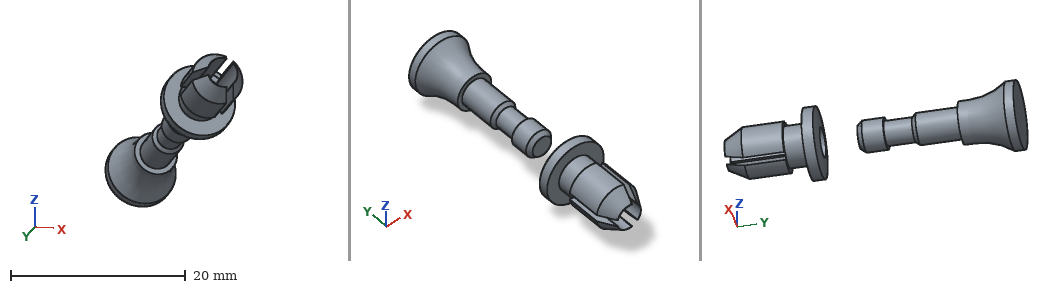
import cadquery as cq
import math

total_length = 34.28

knob_radius = 4.05
knob_rim_length = 1.13
knob_neck_radius = 2.55
knob_neck_length = 1.15
knob_length = 6.85
shank_radius = 1.9
shank_length = 5.05
waist_radius = 1.47
waist_taper_length = 0.5
waist_length = 3.3
tip_length = 3.12
tip_end_radius = 1.4
tip_chamfer_length = 0.6

flange_radius = 4.25
flange_thickness = 1.35
dome_height = 0.35
neck_radius = 2.47
neck_length = 2.5
finger_radius = 3.0
finger_length = 7.03
finger_taper_length = 2.23
finger_end_radius = 1.78
bore_radius = 1.75
slot_width = 0.95
slot_count = 3
first_slot_angle = 180.0


def revolve_about_y(profile):
    """Turn a closed half-profile (X = radius) once around the Y axis."""
    return profile.close().revolve(360, (0, 0, 0), (0, 1, 0))


def make_pin():
    """Revolve the pin, working from the knob end towards the tip."""
    rim_y = total_length - knob_rim_length
    knob_y = total_length - knob_length
    flare_y = knob_y + knob_neck_length
    shank_y = knob_y - shank_length
    waist_y = shank_y - waist_taper_length
    tip_y = waist_y - waist_length
    end_y = tip_y - tip_length

    flare_length = rim_y - flare_y
    flare_rise = knob_radius - knob_neck_radius
    flare_arc_radius = (flare_length**2 + flare_rise**2) / (2 * flare_rise)
    half_angle = math.asin(flare_length / flare_arc_radius) / 2
    flare_middle = (
        knob_neck_radius + flare_arc_radius * (1 - math.cos(half_angle)),
        flare_y + flare_arc_radius * math.sin(half_angle),
    )

    profile = (
        cq.Workplane("XY")
        .moveTo(0, total_length)
        .lineTo(knob_radius, total_length)
        .lineTo(knob_radius, rim_y)
        .threePointArc(flare_middle, (knob_neck_radius, flare_y))
        .lineTo(knob_neck_radius, knob_y)
        .lineTo(shank_radius, knob_y)
        .lineTo(shank_radius, shank_y)
        .lineTo(waist_radius, waist_y)
        .lineTo(waist_radius, tip_y)
        .lineTo(shank_radius, tip_y)
        .lineTo(shank_radius, end_y + tip_chamfer_length)
        .lineTo(tip_end_radius, end_y)
        .lineTo(0, end_y)
    )
    return revolve_about_y(profile)


def make_collar_blank():
    """Revolve the bored, unslotted collar, with a spherical dome on its flange."""
    flange_y = finger_length + neck_length
    dome_y = flange_y + flange_thickness
    dome_arc_radius = (flange_radius**2 + dome_height**2) / (2 * dome_height)
    dome_center_y = dome_y + dome_height - dome_arc_radius

    def dome_point(radius):
        return (radius, dome_center_y + math.sqrt(dome_arc_radius**2 - radius**2))

    profile = (
        cq.Workplane("XY")
        .moveTo(bore_radius, 0)
        .lineTo(finger_end_radius, 0)
        .lineTo(finger_radius, finger_taper_length)
        .lineTo(finger_radius, finger_length)
        .lineTo(neck_radius, finger_length)
        .lineTo(neck_radius, flange_y)
        .lineTo(flange_radius, flange_y)
        .lineTo(flange_radius, dome_y)
        .threePointArc(dome_point((flange_radius + bore_radius) / 2), dome_point(bore_radius))
    )
    return revolve_about_y(profile)


def make_slot(angle):
    """Radial slot between two fingers, running from their ends up to the neck."""
    slot = cq.Workplane("XY").box(
        flange_radius, finger_length, slot_width, centered=(False, False, True)
    )
    return slot.rotate((0, 0, 0), (0, 1, 0), angle)


def make_collar():
    """Split the front end of the blank into equal fingers."""
    collar = make_collar_blank()
    for index in range(slot_count):
        collar = collar.cut(make_slot(first_slot_angle + index * 360 / slot_count))
    return collar


pin = make_pin()
collar = make_collar()
result = cq.Compound.makeCompound([pin.val(), collar.val()])